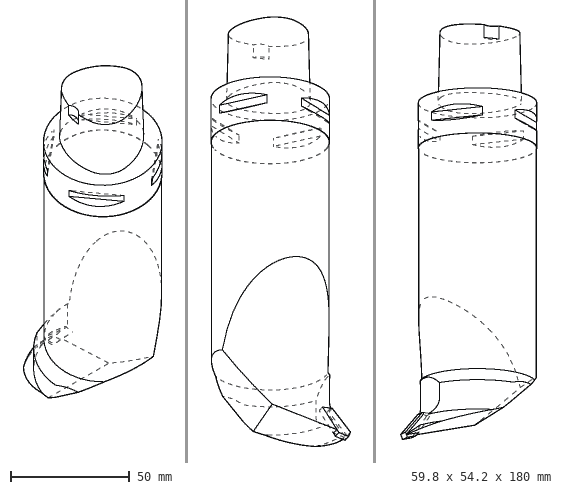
import cadquery as cq
import math


shank_height = 30.0
shank_taper = 1.4
lobe_offset = 6.8
lobe_radius = 11.9
flat_reach = 16.5
notch_radius = 4.3
notch_centre = 18.4
notch_depth = 5.8

flange_radius = 25.0
flange_height = 19.6
body_radius = 24.8
slot_count = 4
slot_z = -9.9
slot_floor = 22.1
slot_floor_height = 3.6
slot_mouth_height = 6.7

collar_radius = 29.2
collar_top = -122.2
collar_shoulder = -128.2
flare_top = -141.0
flare_bottom = -146.5
flare_radius = 34.0
total_depth = 150.0

heel_z = -139.7
toe_slope = 0.27
back_slope = 0.87

cutting_angle = 5.0
rake_y = 3.2
flute_start_z = -137.2
flute_radius = 77.4
flute_tilt = 17.0
relief_x = -25.4
seat_corner_z = -138.0
seat_angle = 50.0
seat_fillet = 7.5
flank_x = 4.5
flank_angle = 24.0

insert_thickness = 4.5
insert_depth = 4.3
insert_proud = 0.9
insert_tip_x = -34.7
insert_nose = 0.9
insert_corner = 0.9
insert_slope = 0.29

margin = 72.0


def turned(tool):
    return tool.rotate((0, 0, 0), (0, 0, 1), cutting_angle)


def polar(radius, degrees):
    angle = math.radians(degrees)
    return radius * math.cos(angle), radius * math.sin(angle)


def make_shank():
    side_offset = lobe_offset / 2
    gap = flat_reach - lobe_radius
    flat_centre = (lobe_offset**2 - gap**2) / (2 * (gap - side_offset))
    flat_radius = flat_centre + flat_reach
    half_span = lobe_offset * math.cos(math.radians(30))
    lean = math.asin(half_span / (flat_radius - lobe_radius))
    joint_x = flat_radius * math.sin(lean)
    joint_y = flat_centre - flat_radius * math.cos(lean)
    joint_radius = math.hypot(joint_x, joint_y)
    joint_angle = math.degrees(math.atan2(joint_y, joint_x))
    outline = cq.Workplane("XY").moveTo(-joint_x, joint_y)
    for turn in (0, 120, 240):
        side_end = polar(joint_radius, joint_angle + turn)
        outline = outline.threePointArc(polar(flat_reach, turn - 90), side_end)
        lobe_end = polar(joint_radius, -60 - joint_angle + turn)
        outline = outline.threePointArc(polar(lobe_offset + lobe_radius, turn - 30), lobe_end)
    shank = outline.close().extrude(shank_height, taper=shank_taper)
    notch = (
        cq.Workplane("XY", origin=(0, -notch_centre, shank_height - notch_depth))
        .circle(notch_radius)
        .extrude(notch_depth)
    )
    return shank.cut(notch)


def make_flange():
    flange = cq.Workplane("XY").circle(flange_radius).extrude(-flange_height)
    mouth_half = slot_mouth_height / 2
    floor_half = slot_floor_height / 2
    slot = (
        cq.Workplane("XZ", origin=(0, 0, slot_z))
        .polyline([
            (slot_floor, -floor_half),
            (flange_radius, -mouth_half),
            (flange_radius, mouth_half),
            (slot_floor, floor_half),
        ])
        .close()
        .extrude(flange_radius, both=True)
    )
    for index in range(slot_count):
        turn = (index + 0.5) * 360 / slot_count
        flange = flange.cut(slot.rotate((0, 0, 0), (0, 0, 1), turn))
    return flange


def make_collar():
    collar = (
        cq.Workplane("XZ")
        .polyline([
            (0, collar_top),
            (body_radius, collar_top),
            (collar_radius, collar_shoulder),
            (collar_radius, flare_top),
            (flare_radius, flare_bottom),
            (flare_radius, -total_depth),
            (0, -total_depth),
        ])
        .close()
        .revolve(360, (0, 0, 0), (0, 1, 0))
    )
    flank_y = -math.sqrt(collar_radius**2 - flank_x**2)
    flank = (
        cq.Workplane("XY", origin=(flank_x, flank_y, collar_top))
        .rect(2 * margin, margin)
        .extrude(-margin)
        .translate((0, -margin / 2, 0))
        .rotate((flank_x, flank_y, 0), (flank_x, flank_y, 1), flank_angle)
    )
    return collar.cut(flank)


def make_underside_cut():
    return (
        cq.Workplane("XZ")
        .polyline([
            (-margin, heel_z - toe_slope * margin),
            (0, heel_z),
            (margin, heel_z + back_slope * margin),
            (margin, -total_depth - margin),
            (-margin, -total_depth - margin),
        ])
        .close()
        .extrude(margin, both=True)
    )


def make_flute_cut():
    arc_centre_y = rake_y + flute_radius

    def arc_point(degrees):
        across, along = polar(flute_radius, degrees)
        return arc_centre_y - across, flute_start_z + along

    flute = (
        cq.Workplane("YZ")
        .moveTo(rake_y, -total_depth - margin)
        .lineTo(rake_y, flute_start_z)
        .threePointArc(arc_point(30), arc_point(60))
        .lineTo(arc_centre_y, -total_depth - margin)
        .close()
        .extrude(margin, both=True)
        .rotate((0, 0, flute_start_z), (0, 1, flute_start_z), flute_tilt)
    )
    return turned(flute)


def make_relief_cut():
    seat_run = margin / math.tan(math.radians(seat_angle))
    relief = (
        cq.Workplane("XZ")
        .polyline([
            (relief_x, collar_top),
            (relief_x, seat_corner_z),
            (relief_x - seat_run, seat_corner_z - margin),
            (relief_x - seat_run, collar_top),
        ])
        .close()
        .extrude(margin, both=True)
        .edges(cq.selectors.NearestToPointSelector((relief_x, 0, seat_corner_z)))
        .fillet(seat_fillet)
    )
    return turned(relief)


def make_insert():
    run_per_drop = 1 / math.tan(math.radians(seat_angle))
    proud_x = insert_proud / math.sin(math.radians(seat_angle))
    top_z = seat_corner_z
    top_x = relief_x - proud_x
    nose_top_z = top_z - (top_x - insert_tip_x) / run_per_drop
    back_top_edge = (top_x + insert_depth / 2, rake_y - insert_thickness, top_z)
    insert = (
        cq.Workplane("XZ", origin=(0, rake_y, 0))
        .polyline([
            (top_x, top_z),
            (insert_tip_x, nose_top_z),
            (insert_tip_x + insert_nose, -total_depth),
            (insert_tip_x + insert_nose + insert_depth, -total_depth + insert_slope * insert_depth),
            (top_x + insert_depth, top_z),
        ])
        .close()
        .extrude(insert_thickness)
        .edges(cq.selectors.NearestToPointSelector(back_top_edge))
        .fillet(insert_corner)
    )
    return turned(insert)


def make_holder(insert):
    body = (
        cq.Workplane("XY", origin=(0, 0, -flange_height))
        .circle(body_radius)
        .extrude(flange_height - total_depth)
    )
    head = body.union(make_collar())
    for cutter in (make_underside_cut(), make_flute_cut(), make_relief_cut()):
        head = head.cut(cutter)
    return head.union(make_flange()).union(make_shank()).cut(insert)


insert = make_insert()
holder = make_holder(insert)
result = cq.Compound.makeCompound([holder.val(), insert.val()])